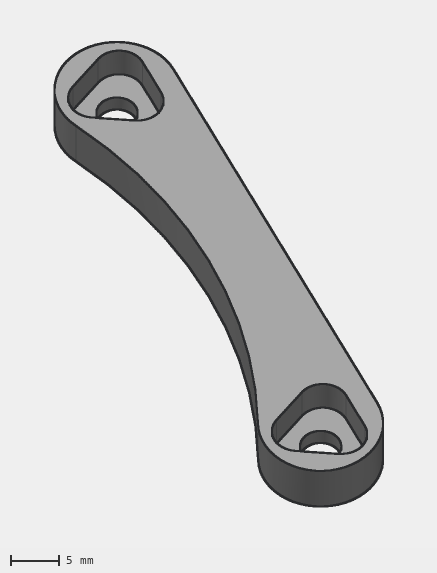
import cadquery as cq
import math

thickness = 5.75
hole_spacing = 50.0
end_radius = 6.5
waist_radius = 55.0
hole_diameter = 4.3
pocket_depth = 3.8
pocket_corner_radius = 2.66
corner_angles = (30, 150, 270)

end_x = hole_spacing / 2
hole_centers = [(-end_x, 0), (end_x, 0)]
pocket_floor = thickness - pocket_depth
corner_distance = pocket_corner_radius

center_distance = waist_radius + end_radius
waist_center_y = -math.sqrt(center_distance**2 - end_x**2)
waist_top_y = waist_center_y + waist_radius
tangent_x = end_x * waist_radius / center_distance
tangent_y = waist_center_y * end_radius / center_distance


def make_bar():
    """Bar with a straight back edge, rounded ends and a concave front edge."""
    outer_x = end_x + end_radius * math.cos(math.pi / 4)
    outer_y = end_radius * math.sin(math.pi / 4)
    return (
        cq.Workplane("XY")
        .moveTo(-end_x, end_radius)
        .lineTo(end_x, end_radius)
        .threePointArc((outer_x, outer_y), (tangent_x, tangent_y))
        .threePointArc((0, waist_top_y), (-tangent_x, tangent_y))
        .threePointArc((-outer_x, outer_y), (-end_x, end_radius))
        .close()
        .extrude(thickness)
    )


def make_pocket(center):
    """Rounded triangular pocket volume with one corner pointing toward -Y."""
    center_x, center_y = center
    corners = []
    for angle in corner_angles:
        corner_x = center_x + corner_distance * math.cos(math.radians(angle))
        corner_y = center_y + corner_distance * math.sin(math.radians(angle))
        corners.append((corner_x, corner_y))
    return (
        cq.Workplane("XY")
        .workplane(offset=pocket_floor)
        .polyline(corners)
        .close()
        .offset2D(pocket_corner_radius)
        .extrude(pocket_depth)
    )


result = make_bar()
for hole_center in hole_centers:
    result = result.cut(make_pocket(hole_center))

through_holes = cq.Workplane("XY").pushPoints(hole_centers).circle(hole_diameter / 2).extrude(thickness)
result = result.cut(through_holes)